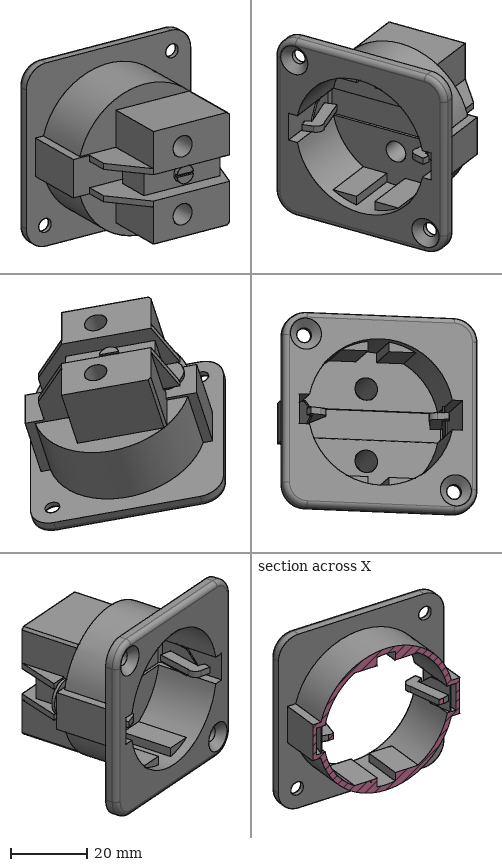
import cadquery as cq
import math


PLATE_SIZE = 52.07
PLATE_THICKNESS = 3.6
PLATE_CORNER_RADIUS = 6.3
PLATE_EDGE_RADIUS = 1.5
SCREW_OFFSET = 20.1
SCREW_HOLE_DIAMETER = 3.9
COUNTERSINK_DIAMETER = 8.3
COUNTERSINK_ANGLE = 90

CUP_OUTER_RADIUS = 21.3
CUP_INNER_RADIUS = 19.55
CUP_FLOOR_X = 18.3
CUP_BACK_X = 20.6
PIN_HOLE_RADIUS = 3.0
PIN_OFFSET = 9.65
KEY_GAP = 5.6
KEY_FLAT_Z = 16.8
KEY_FRONT_X = 3.0

HOUSING_LENGTH = 46.3
HOUSING_WIDTH = 10.9
HOUSING_BACK_X = 21.3
SLOT_LENGTH = 43.7
SLOT_WIDTH = 7.9
SLOT_FLOOR_X = 19.1

CASE_BACK_X = 38.23
CASE_HALF_HEIGHT = 16.0
CASE_Y_MIN = -9.2
CASE_Y_MAX = 14.9
CASE_CHAMFER = 0.75
CHANNEL_WIDTH = 7.5
FLANGE_Y_MIN = -18.0
FLANGE_TAPER_X = 27.9
FLANGE_Y_MAX = 19.5

TERMINAL_FRONT_X = 23.8
TERMINAL_BACK_X = 33.75
TAB_THICKNESS = 0.9
TAB_RADIUS = 5.0
TAB_CENTRE_Y = 15.5
TERMINAL_SCREW_RADIUS = 2.6
TERMINAL_SCREW_HEIGHT = 1.55
DRIVER_SLOT_WIDTH = 0.6
DRIVER_SLOT_DEPTH = 0.75

LEAF_THICKNESS = 0.45
LEAF_SLOPE = 0.25
LEAF_TIP_X = 5.0
LEAF_TIP_Y = 17.45
LEAF_SHOULDER_X = 8.8
LEAF_FOOT_RADIUS = 1.2
ARM_WIDTH = 1.8
ARM_END_X = 15.0
ARM_NOSE_START = (2.2, 15.6)
ARM_NOSE_MIDDLE = (3.6, 14.0)
ARM_NOSE_END = (5.5, 14.2)
ARM_HOOK_OUTER = (1.4, 18.5)
ARM_HOOK_INNER = (3.5, 19.1)
ARM_HOOK_ROOT = (4.4, 17.4)


def block(x_range, y_range, z_range):
    """Box between the given limits."""
    sizes = [high - low for low, high in (x_range, y_range, z_range)]
    corner = (x_range[0], y_range[0], z_range[0])
    return cq.Workplane("XY").box(*sizes, centered=False).translate(corner)


def rod(radius, x_start, x_end, y=0, z=0):
    """Cylinder along X."""
    return cq.Workplane("YZ", origin=(x_start, y, z)).circle(radius).extrude(x_end - x_start)


def centred(width):
    return (-width / 2, width / 2)


def make_plate():
    plate = cq.Workplane("YZ").rect(PLATE_SIZE, PLATE_SIZE).extrude(PLATE_THICKNESS)
    plate = plate.edges("|X").fillet(PLATE_CORNER_RADIUS)
    return plate.faces("<X").edges().fillet(PLATE_EDGE_RADIUS)


def make_case():
    """Rear case with its two side flanges, split by the terminal channel."""
    case = block(
        (CUP_BACK_X, CASE_BACK_X), (CASE_Y_MIN, CASE_Y_MAX), centred(2 * CASE_HALF_HEIGHT)
    )
    case = case.edges("|X and >Y").chamfer(CASE_CHAMFER)
    tab_back_x = TERMINAL_FRONT_X + TAB_THICKNESS
    flanges = (
        cq.Workplane("XY")
        .moveTo(CUP_BACK_X, FLANGE_Y_MIN)
        .lineTo(FLANGE_TAPER_X, FLANGE_Y_MIN)
        .lineTo(CASE_BACK_X, CASE_Y_MIN)
        .lineTo(CASE_BACK_X, CASE_Y_MAX)
        .lineTo(tab_back_x, FLANGE_Y_MAX)
        .lineTo(tab_back_x, CASE_Y_MAX)
        .lineTo(CUP_BACK_X, CASE_Y_MAX)
        .close()
        .extrude(HOUSING_WIDTH / 2, both=True)
    )
    channel = block(
        (HOUSING_BACK_X, CASE_BACK_X), centred(PLATE_SIZE), centred(CHANNEL_WIDTH)
    )
    return case.union(flanges).cut(channel)


def make_terminal():
    """Earth terminal: block across the channel, round-ended tab and slotted screw."""
    body = block(
        (TERMINAL_FRONT_X, TERMINAL_BACK_X), (CASE_Y_MIN, CASE_Y_MAX), centred(CHANNEL_WIDTH)
    )
    tab_x = (TERMINAL_FRONT_X, TERMINAL_FRONT_X + TAB_THICKNESS)
    tab = rod(TAB_RADIUS, *tab_x, y=TAB_CENTRE_Y)
    tab_root = block(tab_x, (CASE_Y_MIN, TAB_CENTRE_Y), centred(2 * TAB_RADIUS))
    screw_top_x = TERMINAL_BACK_X + TERMINAL_SCREW_HEIGHT
    screw_y = (CASE_Y_MIN + CASE_Y_MAX) / 2
    screw = rod(TERMINAL_SCREW_RADIUS, TERMINAL_BACK_X, screw_top_x, y=screw_y)
    driver_slot = block(
        (screw_top_x - DRIVER_SLOT_DEPTH, screw_top_x),
        (CASE_Y_MIN, CASE_Y_MAX),
        centred(DRIVER_SLOT_WIDTH),
    )
    return body.union(tab_root).union(tab).union(screw.cut(driver_slot))


def leaf_y(x):
    """Y of the inner face of the leaf."""
    return LEAF_TIP_Y + LEAF_SLOPE * (x - LEAF_TIP_X)


def make_leaf():
    """Sloping sheet, pointed at its front end and rounded into the slot floor."""
    leaf_angle = math.atan(LEAF_SLOPE)
    thickness_y = LEAF_THICKNESS / math.cos(leaf_angle)
    tangent_length = LEAF_FOOT_RADIUS * math.tan((math.pi / 2 - leaf_angle) / 2)
    foot_y = leaf_y(SLOT_FLOOR_X)
    foot_start_x = SLOT_FLOOR_X - tangent_length * math.cos(leaf_angle)
    sheet = (
        cq.Workplane("XY")
        .moveTo(LEAF_TIP_X, LEAF_TIP_Y)
        .lineTo(foot_start_x, leaf_y(foot_start_x))
        .radiusArc((SLOT_FLOOR_X, foot_y - tangent_length), LEAF_FOOT_RADIUS)
        .lineTo(CUP_BACK_X, foot_y - tangent_length)
        .lineTo(CUP_BACK_X, foot_y + thickness_y)
        .lineTo(SLOT_FLOOR_X, foot_y + thickness_y)
        .lineTo(LEAF_TIP_X, LEAF_TIP_Y + thickness_y)
        .close()
        .extrude(SLOT_WIDTH / 2, both=True)
    )
    outline = (
        cq.Workplane("XZ")
        .moveTo(LEAF_TIP_X, -ARM_WIDTH / 2)
        .lineTo(LEAF_SHOULDER_X, -SLOT_WIDTH / 2)
        .lineTo(CUP_BACK_X, -SLOT_WIDTH / 2)
        .lineTo(CUP_BACK_X, SLOT_WIDTH / 2)
        .lineTo(LEAF_SHOULDER_X, SLOT_WIDTH / 2)
        .lineTo(LEAF_TIP_X, ARM_WIDTH / 2)
        .close()
        .extrude(-HOUSING_LENGTH / 2)
    )
    return sheet.intersect(outline)


def make_arm():
    """Narrow hooked contact arm standing on the inner face of the leaf."""
    nose_x, nose_y = ARM_NOSE_END
    arm_depth = leaf_y(nose_x) - nose_y
    overlap = LEAF_THICKNESS / 2
    return (
        cq.Workplane("XY")
        .moveTo(*ARM_HOOK_OUTER)
        .lineTo(*ARM_NOSE_START)
        .threePointArc(ARM_NOSE_MIDDLE, ARM_NOSE_END)
        .lineTo(ARM_END_X + LEAF_SLOPE * arm_depth, leaf_y(ARM_END_X) - arm_depth)
        .lineTo(ARM_END_X, leaf_y(ARM_END_X) + overlap)
        .lineTo(LEAF_TIP_X, LEAF_TIP_Y + overlap)
        .lineTo(*ARM_HOOK_ROOT)
        .lineTo(*ARM_HOOK_INNER)
        .close()
        .extrude(ARM_WIDTH / 2, both=True)
    )


def make_keys():
    """Four guide keys on the cup wall, two at the top and two at the bottom."""
    middle_of_wall = (CUP_INNER_RADIUS + CUP_OUTER_RADIUS) / 2
    keys = rod(middle_of_wall, KEY_FRONT_X, CUP_FLOOR_X)
    key_x = (KEY_FRONT_X, CUP_FLOOR_X)
    full_width = centred(2 * CUP_OUTER_RADIUS)
    keys = keys.cut(block(key_x, full_width, centred(2 * KEY_FLAT_Z)))
    return keys.cut(block(key_x, centred(KEY_GAP), full_width))


def cut_openings(socket):
    socket = socket.cut(rod(CUP_INNER_RADIUS, 0, CUP_FLOOR_X))
    socket = socket.cut(block((0, SLOT_FLOOR_X), centred(SLOT_LENGTH), centred(SLOT_WIDTH)))
    for z in (-PIN_OFFSET, PIN_OFFSET):
        socket = socket.cut(rod(PIN_HOLE_RADIUS, 0, CASE_BACK_X, z=z))
    return (
        socket.copyWorkplane(cq.Workplane("YZ").transformed(rotate=(0, 180, 0)))
        .pushPoints([(-SCREW_OFFSET, SCREW_OFFSET), (SCREW_OFFSET, -SCREW_OFFSET)])
        .cskHole(SCREW_HOLE_DIAMETER, COUNTERSINK_DIAMETER, COUNTERSINK_ANGLE, PLATE_THICKNESS)
    )


socket = make_plate()
socket = socket.union(rod(CUP_OUTER_RADIUS, PLATE_THICKNESS, CUP_BACK_X))
socket = socket.union(
    block((PLATE_THICKNESS, HOUSING_BACK_X), centred(HOUSING_LENGTH), centred(HOUSING_WIDTH))
)
socket = socket.union(make_case()).union(make_terminal())
socket = cut_openings(socket).union(make_keys())

contact = make_leaf().union(make_arm())
socket = socket.union(contact).union(contact.mirror("XZ"))

result = socket